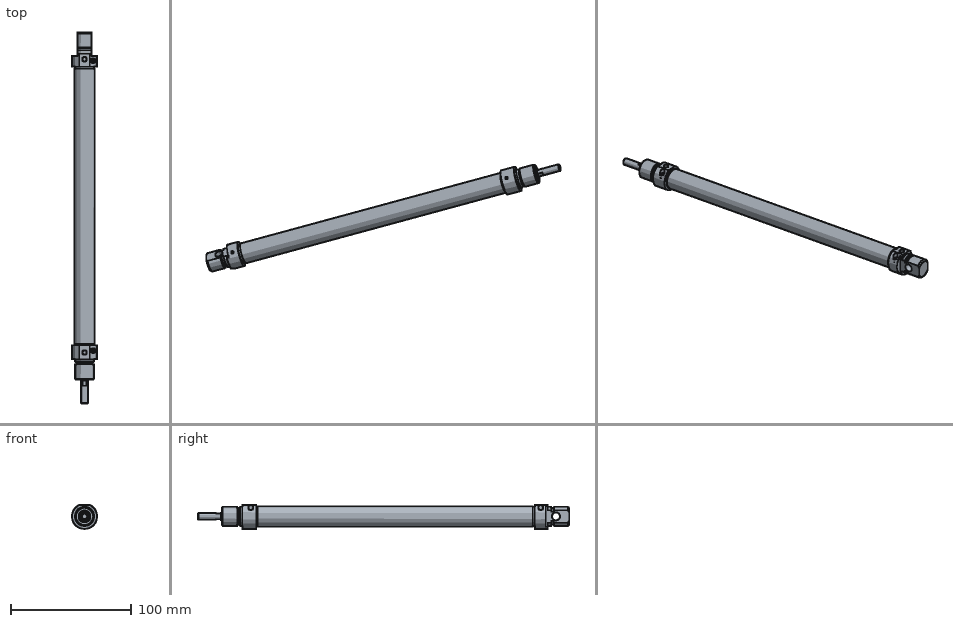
import cadquery as cq
import math


TOTAL_LENGTH = 309.0
HEAD_DIA = 21.0
THREAD_DIA = 16.0
PORT_FLAT_HEIGHT = 9.5

BARREL_DIA = 17.3
SPIGOT_DIA = 16.0
BARREL_START = 49.7
BARREL_END = 278.5

ROD_DIA = 6.0
ROD_TIP_CHAMFER = 0.77
WRENCH_WIDTH = 5.0
WRENCH_START = 15.0

NOSE_START = 20.0
NOSE_CHAMFER = 1.0
NOSE_END = 32.8
NECK_END = 34.0
CONE_END = 35.5
FRONT_HEAD_START = 37.0
FRONT_HEAD_END = 48.8
FRONT_NECK_DIA = 13.5
WIPER_RECESS_DIA = 10.0
SEAL_SEAT_DIA = 8.0
STEP_DEPTH = 1.0
WIPER_LIP_DIA = 6.5
WIPER_LIP_START = 19.2

REAR_HEAD_START = 280.3
REAR_HEAD_END = 291.0
COLLAR_END = 294.0
NECK_TAIL_END = 295.7
TAIL_START = 296.5
REAR_NECK_DIA = 14.2
TAIL_CHAMFER = 1.2
TONGUE_WIDTH = 12.0
TONGUE_START = 289.2
EYE_DIA = 6.5
EYE_Y = 298.0

PORT_DIA = 4.0
PORT_DEPTH = 2.8
PORT_CORE_DIA = 3.5
PORT_CORE_DEPTH = 1.5
FRONT_PORT_Y = 42.5
REAR_PORT_Y = 286.5
SCREW_DIA = 4.0
SCREW_LENGTH = 2.8
SCREW_X = 7.0
SCREW_FACE_HEIGHT = 5.5
SOCKET_DIA = 1.8
SOCKET_DEPTH = 1.0
FRONT_SCREW_Y = 44.2
REAR_SCREW_Y = 285.2
BLEED_DIA = 2.0
BLEED_DEPTH = 1.5
BLEED_TILT = -125.0

HEAD_RADIUS = HEAD_DIA / 2
SCREW_SEAT_HEIGHT = SCREW_FACE_HEIGHT - SCREW_LENGTH


def rod_shape(diameter, y_start, y_end):
    """Solid cylinder on the Y axis between two stations."""
    return cq.Workplane("XZ", origin=(0, y_start, 0)).circle(diameter / 2).extrude(y_start - y_end)


def turned(profile):
    """Solid of revolution about the Y axis from (radius, y) points."""
    return cq.Workplane("XY").polyline(profile).close().revolve(360, (0, 0, 0), (0, 1, 0))


def make_bleed_tool(y):
    """Cutter for a blind radial bleed hole at station y."""
    angle = math.radians(BLEED_TILT)
    outward = cq.Vector(math.sin(angle), 0, math.cos(angle))
    start = outward * (HEAD_RADIUS - BLEED_DEPTH) + cq.Vector(0, y, 0)
    return cq.Solid.makeCylinder(BLEED_DIA / 2, 2 * BLEED_DEPTH, start, outward)


def upright_cylinder(diameter, x, y, bottom, top):
    """Cylinder parallel to Z between two heights."""
    return cq.Solid.makeCylinder(diameter / 2, top - bottom, cq.Vector(x, y, bottom))


def cut_head_details(cap, port_y, screw_y):
    """Cut the port flat, air port, screw bore and bleed hole into a cap's head."""
    flat_waste = cq.Workplane("XY").box(
        HEAD_DIA, TOTAL_LENGTH, HEAD_DIA, centered=(True, False, False)
    ).translate((0, 0, PORT_FLAT_HEIGHT))
    port_floor = PORT_FLAT_HEIGHT - PORT_DEPTH
    core_floor = port_floor - PORT_CORE_DEPTH
    port = upright_cylinder(PORT_DIA, 0, port_y, port_floor, PORT_FLAT_HEIGHT)
    port_core = upright_cylinder(PORT_CORE_DIA, 0, port_y, core_floor, port_floor)
    screw_bore = upright_cylinder(SCREW_DIA, SCREW_X, screw_y, SCREW_SEAT_HEIGHT, HEAD_RADIUS)
    bleed = make_bleed_tool(screw_y)
    return cap.cut(flat_waste).cut(port).cut(port_core).cut(screw_bore).cut(bleed)


def make_barrel():
    return rod_shape(BARREL_DIA, BARREL_START, BARREL_END)


def make_piston_rod():
    """Rod from its chamfered tip to the front face of the barrel, with two wrench flats."""
    rod = rod_shape(ROD_DIA, 0, BARREL_START).faces("<Y").chamfer(ROD_TIP_CHAMFER)
    wrench_length = WIPER_LIP_START - WRENCH_START
    for side in (1, -1):
        flat_waste = cq.Workplane("XY").box(ROD_DIA, wrench_length, ROD_DIA, centered=(True, False, True))
        rod = rod.cut(flat_waste.translate((0, WRENCH_START, side * (WRENCH_WIDTH + ROD_DIA) / 2)))
    return rod


def make_front_cap():
    """Threaded nose with a stepped rod opening and wiper lip, conical undercut and front head."""
    nose_radius = THREAD_DIA / 2
    neck_radius = FRONT_NECK_DIA / 2
    cap = turned([
        (0, NOSE_START),
        (nose_radius - NOSE_CHAMFER, NOSE_START),
        (nose_radius, NOSE_START + NOSE_CHAMFER),
        (nose_radius, NOSE_END),
        (neck_radius, NOSE_END),
        (neck_radius, NECK_END),
        (nose_radius, CONE_END),
        (nose_radius, FRONT_HEAD_START),
        (HEAD_RADIUS, FRONT_HEAD_START),
        (HEAD_RADIUS, FRONT_HEAD_END),
        (SPIGOT_DIA / 2, FRONT_HEAD_END),
        (SPIGOT_DIA / 2, BARREL_START),
        (0, BARREL_START),
    ])
    for step, diameter in enumerate((WIPER_RECESS_DIA, SEAL_SEAT_DIA), start=1):
        cap = cap.cut(rod_shape(diameter, NOSE_START, NOSE_START + step * STEP_DEPTH))
    cap = cap.union(rod_shape(WIPER_LIP_DIA, WIPER_LIP_START, NOSE_END))
    cap = cap.cut(rod_shape(ROD_DIA, WIPER_LIP_START, BARREL_START))
    return cut_head_details(cap, FRONT_PORT_Y, FRONT_SCREW_Y)


def make_rear_cap():
    """Spigot, rear head and the threaded tail flattened into a mounting tongue with an eye."""
    tail_radius = THREAD_DIA / 2
    neck_radius = REAR_NECK_DIA / 2
    cap = turned([
        (0, BARREL_END),
        (SPIGOT_DIA / 2, BARREL_END),
        (SPIGOT_DIA / 2, REAR_HEAD_START),
        (HEAD_RADIUS, REAR_HEAD_START),
        (HEAD_RADIUS, REAR_HEAD_END),
        (tail_radius, REAR_HEAD_END),
        (tail_radius, COLLAR_END),
        (neck_radius, COLLAR_END),
        (neck_radius, NECK_TAIL_END),
        (tail_radius, TAIL_START),
        (tail_radius, TOTAL_LENGTH - TAIL_CHAMFER),
        (tail_radius - TAIL_CHAMFER, TOTAL_LENGTH),
        (0, TOTAL_LENGTH),
    ])
    for side in (1, -1):
        cheek = cq.Workplane("XY").box(
            HEAD_DIA, TOTAL_LENGTH - TONGUE_START, HEAD_DIA, centered=(True, False, True)
        )
        cap = cap.cut(cheek.translate((side * (TONGUE_WIDTH + HEAD_DIA) / 2, TONGUE_START, 0)))
    eye = cq.Workplane("YZ").center(EYE_Y, 0).circle(EYE_DIA / 2).extrude(TONGUE_WIDTH, both=True)
    return cut_head_details(cap.cut(eye), REAR_PORT_Y, REAR_SCREW_Y)


def make_cushion_screw(y):
    """Socketed cushioning screw, sunk in its bore below the curved head surface."""
    screw = upright_cylinder(SCREW_DIA, SCREW_X, y, SCREW_SEAT_HEIGHT, SCREW_FACE_HEIGHT)
    socket_floor = SCREW_FACE_HEIGHT - SOCKET_DEPTH
    socket = upright_cylinder(SOCKET_DIA, SCREW_X, y, socket_floor, SCREW_FACE_HEIGHT)
    return cq.Workplane(screw).cut(cq.Workplane(socket))


barrel = make_barrel()
piston_rod = make_piston_rod()
front_cap = make_front_cap()
rear_cap = make_rear_cap()
cushion_screws = [make_cushion_screw(y) for y in (FRONT_SCREW_Y, REAR_SCREW_Y)]

result = cq.Compound.makeCompound([
    barrel.val(),
    piston_rod.val(),
    front_cap.val(),
    rear_cap.val(),
    *[screw.val() for screw in cushion_screws],
])